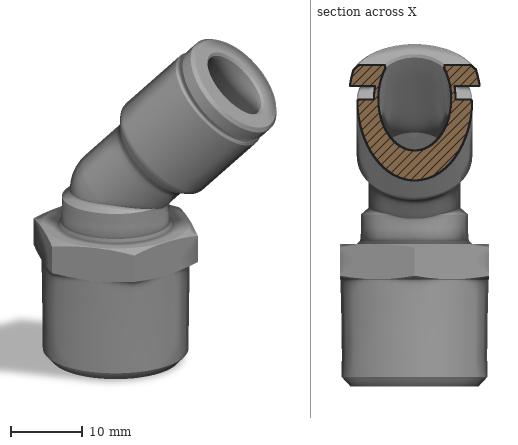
import cadquery as cq
import math

stud_end_radius = 10.25
stud_top_radius = 10.45
stud_length = 15.0
stud_chamfer_height = 1.3
stud_chamfer_width = 1.2

hex_across_flats = 21.0
hex_height = 5.0
hex_face_radius = 10.4
hex_corner_drop = 0.55
hex_corner_radius = hex_across_flats / math.sqrt(3)
hex_top = stud_length + hex_height

collar_foot_radius = 8.15
collar_foot_height = 0.45
collar_base_radius = 7.65
collar_radius = 7.55
collar_taper_height = 2.15
collar_straight_height = 1.55
collar_shoulder_height = 0.95

elbow_tilt = 45
elbow_radius = 6.45
elbow_height = (hex_top + collar_foot_height + collar_taper_height
                + collar_straight_height + collar_shoulder_height)

body_radius = 8.15
body_cone_start = 7.85
body_cone_angle = 40
body_end = 21.65
body_fillet = 1.0
body_end_chamfer = 0.25
body_cone_end = body_cone_start + (body_radius - elbow_radius) / math.tan(math.radians(body_cone_angle))

neck_radius = 5.8
ring_gap = 1.25
ring_half_length = 9.3
ring_half_width = 7.95
ring_thickness = 2.15
ring_chamfer = 0.5
ring_end = body_end + ring_gap + ring_thickness

bore_radius = 5.1
bore_chamfer = 0.35
bore_depth = ring_end - body_cone_end


def revolved(points):
    """Turn a closed (radius, height) outline about the Z axis."""
    return cq.Workplane("XZ").polyline(points).close().revolve(360, (0, 0, 0), (0, 1, 0))


def make_stud():
    return revolved([
        (0, 0),
        (stud_end_radius - stud_chamfer_width, 0),
        (stud_end_radius, stud_chamfer_height),
        (stud_top_radius, stud_length),
        (0, stud_length),
    ])


def make_hexagon():
    prism = (
        cq.Workplane("XY", origin=(0, 0, stud_length))
        .polygon(6, 2 * hex_corner_radius)
        .extrude(hex_height)
    )
    chamfer_envelope = revolved([
        (0, stud_length),
        (hex_face_radius, stud_length),
        (hex_corner_radius, stud_length + hex_corner_drop),
        (hex_corner_radius, hex_top - hex_corner_drop),
        (hex_face_radius, hex_top),
        (0, hex_top),
    ])
    return prism.intersect(chamfer_envelope)


def make_collar():
    taper_start = hex_top + collar_foot_height
    taper_end = taper_start + collar_taper_height
    return revolved([
        (0, hex_top),
        (collar_foot_radius, hex_top),
        (collar_base_radius, taper_start),
        (collar_radius, taper_end),
        (collar_radius, taper_end + collar_straight_height),
        (elbow_radius, elbow_height),
        (0, elbow_height),
    ])


def make_socket():
    """Tube and socket body on the Z axis, with the elbow centre at the origin."""
    body = revolved([
        (0, 0),
        (elbow_radius, 0),
        (elbow_radius, body_cone_start),
        (body_radius, body_cone_end),
        (body_radius, body_end),
        (0, body_end),
    ])
    shoulder = cq.selectors.BoxSelector(
        (-2 * body_radius, -2 * body_radius, body_cone_start - body_fillet),
        (2 * body_radius, 2 * body_radius, body_cone_end + body_fillet),
        boundingbox=True,
    )
    body = body.edges("%CIRCLE").edges(shoulder).fillet(body_fillet)
    body = body.faces(">Z").edges().chamfer(body_end_chamfer)
    ball = cq.Workplane("XY").sphere(elbow_radius)
    return body.union(ball)


def make_release_ring():
    neck = cq.Workplane("XY", origin=(0, 0, body_end)).circle(neck_radius).extrude(ring_gap)
    ring = (
        cq.Workplane("XY", origin=(0, 0, body_end + ring_gap))
        .ellipse(ring_half_width, ring_half_length)
        .extrude(ring_thickness)
        .faces(">Z")
        .edges()
        .chamfer(ring_chamfer)
    )
    return neck.union(ring)


def make_bore():
    return revolved([
        (0, ring_end - bore_depth),
        (bore_radius, ring_end - bore_depth),
        (bore_radius, ring_end - bore_chamfer),
        (bore_radius + bore_chamfer, ring_end),
        (0, ring_end),
    ])


branch = make_socket().union(make_release_ring()).cut(make_bore())
branch = branch.rotate((0, 0, 0), (0, 1, 0), elbow_tilt).translate((0, 0, elbow_height))

result = make_stud().union(make_hexagon()).union(make_collar()).union(branch)